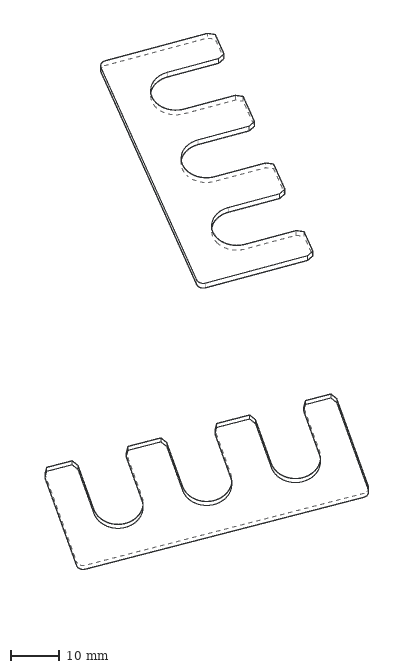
import cadquery as cq

length = 63.5
width = 25.4
thickness = 1.6
corner_radius = 1.45

slot_count = 3
slot_pitch = 19.3
slot_width = 10.5
slot_depth = 18.0

tip_chamfer_across = 0.8
tip_chamfer_along = 1.45

slot_radius = slot_width / 2
back = width / 2
slot_floor_start = back - slot_depth + slot_radius
chamfer_start = back - tip_chamfer_along


def make_plate():
    """Flat plate with rounded front corners and chamfered back corners."""
    half = length / 2
    outline = (
        cq.Workplane("XY")
        .moveTo(-half, -width / 2)
        .lineTo(half, -width / 2)
        .lineTo(half, chamfer_start)
        .lineTo(half - tip_chamfer_across, back)
        .lineTo(-half + tip_chamfer_across, back)
        .lineTo(-half, chamfer_start)
        .close()
    )
    plate = outline.extrude(thickness)
    return plate.edges("|Z and <Y").fillet(corner_radius)


def make_slot(center_x):
    """Round-bottomed slot that flares at its open end."""
    left = center_x - slot_radius
    right = center_x + slot_radius
    return (
        cq.Workplane("XY")
        .moveTo(left - tip_chamfer_across, back)
        .lineTo(left, chamfer_start)
        .lineTo(left, slot_floor_start)
        .threePointArc((center_x, back - slot_depth), (right, slot_floor_start))
        .lineTo(right, chamfer_start)
        .lineTo(right + tip_chamfer_across, back)
        .close()
        .extrude(thickness)
    )


result = make_plate()
for index in range(slot_count):
    slot_x = (index - (slot_count - 1) / 2) * slot_pitch
    result = result.cut(make_slot(slot_x))